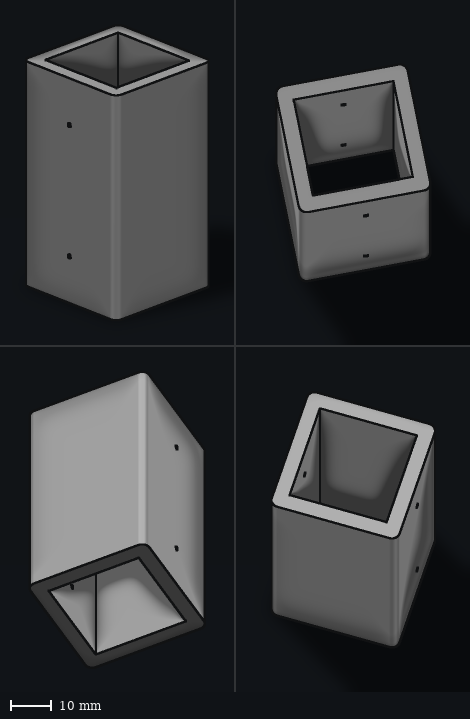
import cadquery as cq

outer_side = 33.0
wall = 4.0
height = 60.0
corner_radius = 2.0
hole_diameter = 1.0
hole_end_distance = 12.5

inner_side = outer_side - 2 * wall
hole_heights = (hole_end_distance, height - hole_end_distance)


def square_tube():
    """Upright square tube, rounded outside and sharp-cornered inside."""
    body = cq.Workplane("XY").rect(outer_side, outer_side).extrude(height)
    body = body.edges("|Z").fillet(corner_radius)
    bore = cq.Workplane("XY").rect(inner_side, inner_side).extrude(height)
    return body.cut(bore)


def cross_holes():
    """Drills along Y that pass through the front and back walls."""
    centres = [(0, z) for z in hole_heights]
    return (
        cq.Workplane("XZ")
        .pushPoints(centres)
        .circle(hole_diameter / 2)
        .extrude(outer_side / 2, both=True)
    )


result = square_tube().cut(cross_holes())